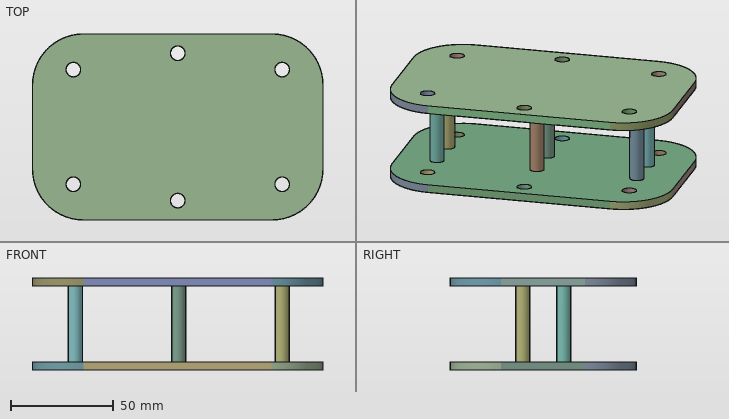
import cadquery as cq

plate_length = 142.0
plate_width = 91.0
plate_thickness = 4.0
corner_radius = 25.0
overall_height = 45.0

hole_diameter = 7.0
corner_hole_x = 51.0
corner_hole_y = 28.0
middle_hole_y = 36.0

pillar_diameter = 7.0
pillar_pitch_x = 50.5
pillar_center_x = 0.5
pillar_y = 10.0

upper_plate_z = overall_height - plate_thickness
hole_points = [
    (x, side * y)
    for side in (-1, 1)
    for x, y in (
        (-corner_hole_x, corner_hole_y),
        (0, middle_hole_y),
        (corner_hole_x, corner_hole_y),
    )
]
pillar_points = [
    (pillar_center_x + column * pillar_pitch_x, side * pillar_y)
    for column in (-1, 0, 1)
    for side in (-1, 1)
]


def make_plate(bottom_z):
    """Rounded plate with its six through holes, resting at bottom_z."""
    return (
        cq.Workplane("XY", origin=(0, 0, bottom_z))
        .rect(plate_length, plate_width)
        .extrude(plate_thickness)
        .edges("|Z")
        .fillet(corner_radius)
        .faces(">Z")
        .workplane(origin=(0, 0, 0))
        .pushPoints(hole_points)
        .hole(hole_diameter)
    )


def make_pillars():
    """Round pillars spanning the gap between the plates."""
    return (
        cq.Workplane("XY", origin=(0, 0, plate_thickness))
        .pushPoints(pillar_points)
        .circle(pillar_diameter / 2)
        .extrude(upper_plate_z - plate_thickness)
    )


result = make_plate(0).union(make_pillars()).union(make_plate(upper_plate_z))